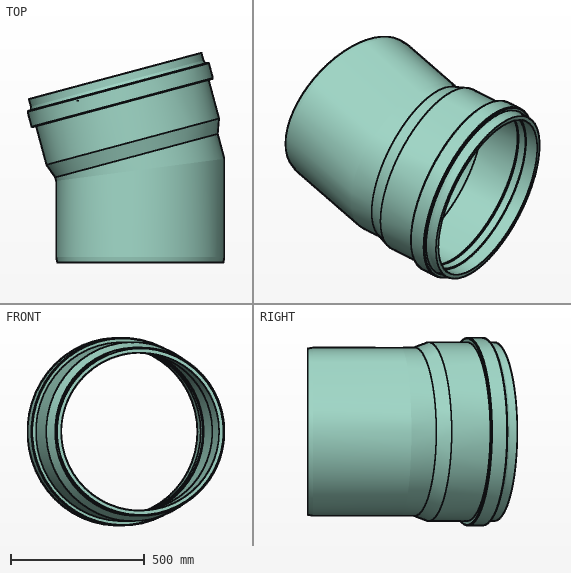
import cadquery as cq
import math

BEND_ANGLE = 15.0
MITRE_HEIGHT = 347.0
OVERALL_LENGTH = 785.0

PIPE_OUTER_R = 630.0 / 2
PIPE_BORE_R = 590.0 / 2
SPIGOT_CHAMFER_LENGTH = 20.5
SPIGOT_CHAMFER_DEPTH = 4.0

SOCKET_OUTER_R = 669.5 / 2
SOCKET_BORE_R = 637.0 / 2
mouth_rise = SOCKET_OUTER_R * math.sin(math.radians(BEND_ANGLE))
SOCKET_LENGTH = (OVERALL_LENGTH - MITRE_HEIGHT - mouth_rise) / math.cos(math.radians(BEND_ANGLE))
TAPER_START = 55.0
TAPER_END = 109.0
BORE_TAPER_SHIFT = 4.0

BEAD_OUTER_R = 703.0 / 2
BEAD_START = 258.0
BEAD_END = 322.0
BEAD_CHAMFER = 3.0
NECK_END = 334.5
NECK_FLARE = 4.0

GROOVE_R = 671.0 / 2
GROOVE_START = 273.0
GROOVE_END = 310.0
BORE_FLARE_END = 323.0
SEAL_BORE_R = 634.0 / 2
SEAL_LEAD_LENGTH = 6.0
SEAL_LEAD_DEPTH = 2.0

CUT_SIZE = 2355.0


def revolve_about_y(points):
    """Revolve a closed (radius, station) outline about the Y axis."""
    return cq.Workplane("XY").polyline(points).close().revolve(360, (0, 0), (0, 1))


def place_on_socket_axis(body):
    """Lean a body made along Y onto the socket axis, its origin at the mitre point."""
    return body.rotate((0, 0, 0), (0, 0, 1), BEND_ANGLE).translate((0, MITRE_HEIGHT, 0))


def mitre_side(direction):
    """Block on the socket side (+1) or spigot side (-1) of the mitre plane."""
    return (
        cq.Workplane("XY")
        .box(CUT_SIZE, CUT_SIZE, CUT_SIZE)
        .translate((0, direction * CUT_SIZE / 2, 0))
        .rotate((0, 0, 0), (0, 0, 1), BEND_ANGLE / 2)
        .translate((0, MITRE_HEIGHT, 0))
    )


mitre_overrun = 2 * PIPE_OUTER_R * math.tan(math.radians(BEND_ANGLE / 2))


def make_spigot():
    top = MITRE_HEIGHT + mitre_overrun
    outline = [
        (PIPE_BORE_R, 0),
        (PIPE_OUTER_R - SPIGOT_CHAMFER_DEPTH, 0),
        (PIPE_OUTER_R, SPIGOT_CHAMFER_LENGTH),
        (PIPE_OUTER_R, top),
        (PIPE_BORE_R, top),
    ]
    return revolve_about_y(outline).intersect(mitre_side(-1))


def make_socket():
    outer = [
        (PIPE_OUTER_R, -mitre_overrun),
        (PIPE_OUTER_R, TAPER_START),
        (SOCKET_OUTER_R, TAPER_END),
        (SOCKET_OUTER_R, BEAD_START),
        (BEAD_OUTER_R - BEAD_CHAMFER, BEAD_START),
        (BEAD_OUTER_R, BEAD_START + BEAD_CHAMFER),
        (BEAD_OUTER_R, BEAD_END - BEAD_CHAMFER),
        (BEAD_OUTER_R - BEAD_CHAMFER, BEAD_END),
        (SOCKET_OUTER_R + NECK_FLARE, BEAD_END),
        (SOCKET_OUTER_R, NECK_END),
        (SOCKET_OUTER_R, SOCKET_LENGTH),
    ]
    inner = [
        (SOCKET_BORE_R, SOCKET_LENGTH),
        (SOCKET_BORE_R, BORE_FLARE_END),
        (SOCKET_BORE_R + NECK_FLARE, GROOVE_END),
        (GROOVE_R, GROOVE_END),
        (GROOVE_R, GROOVE_START),
        (SOCKET_BORE_R, GROOVE_START),
        (SOCKET_BORE_R, TAPER_END + BORE_TAPER_SHIFT),
        (PIPE_BORE_R, TAPER_START + BORE_TAPER_SHIFT),
        (PIPE_BORE_R, -mitre_overrun),
    ]
    return place_on_socket_axis(revolve_about_y(outer + inner)).intersect(mitre_side(1))


def make_seal():
    outline = [
        (SEAL_BORE_R, GROOVE_START + SEAL_LEAD_LENGTH),
        (SEAL_BORE_R + SEAL_LEAD_DEPTH, GROOVE_START),
        (GROOVE_R, GROOVE_START),
        (GROOVE_R, GROOVE_END),
        (SEAL_BORE_R, GROOVE_END),
    ]
    return place_on_socket_axis(revolve_about_y(outline))


bend = make_spigot().union(make_socket())
seal = make_seal()

result = cq.Compound.makeCompound([bend.val(), seal.val()])